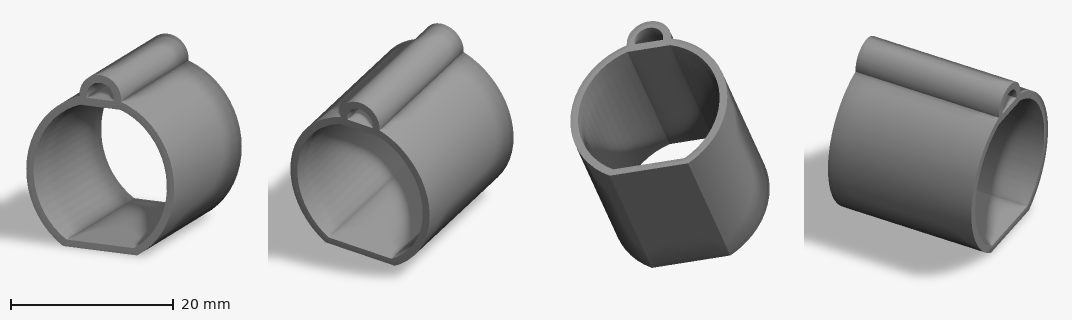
import cadquery as cq

length = 20.0
height = 22.5
wall = 1.0
floor_thickness = 0.88
outer_width = 20.0
outer_half_height = 10.62
axis_height = 9.2
ceiling_height = 18.38
loop_radius = 2.81

outer_half_width = outer_width / 2
inner_half_width = outer_half_width - wall
inner_half_height = outer_half_height - wall
loop_bore_radius = loop_radius - wall
loop_axis_height = height - loop_radius
loop_floor_height = ceiling_height + wall


def extrude_along_y(profile):
    """Extrude an XZ profile over the full length, centred on the XZ plane."""
    return profile.extrude(length).translate((0, length / 2, 0))


def slab(bottom, top):
    """Block wider than the part, between two heights."""
    profile = (
        cq.Workplane("XZ")
        .center(0, (bottom + top) / 2)
        .rect(2 * height, top - bottom)
    )
    return extrude_along_y(profile)


def oval_bar(half_width, half_height, bottom, top):
    """Elliptical bar cut flat at the given bottom and top heights."""
    profile = cq.Workplane("XZ").center(0, axis_height).ellipse(half_width, half_height)
    return extrude_along_y(profile).intersect(slab(bottom, top))


def arched_bar(radius, bottom):
    """Bar with a round top about the loop axis and straight sides down to a flat bottom."""
    profile = (
        cq.Workplane("XZ")
        .moveTo(-radius, bottom)
        .lineTo(-radius, loop_axis_height)
        .threePointArc((0, loop_axis_height + radius), (radius, loop_axis_height))
        .lineTo(radius, bottom)
        .close()
    )
    return extrude_along_y(profile)


body = oval_bar(outer_half_width, outer_half_height, 0, height)
body = body.union(arched_bar(loop_radius, ceiling_height))

main_bore = oval_bar(inner_half_width, inner_half_height, floor_thickness, ceiling_height)
loop_bore = arched_bar(loop_bore_radius, loop_floor_height)

result = body.cut(main_bore).cut(loop_bore)